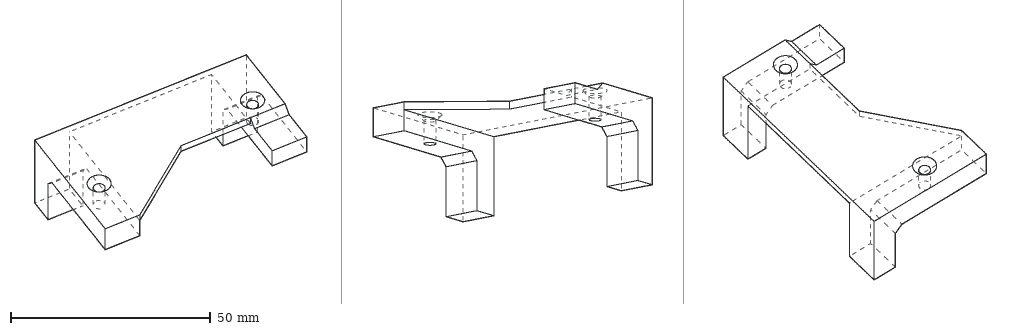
import cadquery as cq

width = 35.9
length = 61.0
height = 22.5

plate_thickness = 2.1
plate_narrow_width = 19.8
taper_start_y = 31.0

bracket_depth = 10.0
front_leg_thickness = 6.85
rear_leg_thickness = 5.8
arm_height = 7.5
corner_brace = 2.1
rear_arm_reach = 30.85

hole_diameter = 3.0
countersink_diameter = 6.05
countersink_angle = 90
hole_end_offset = 6.5
front_hole_x = 21.35
rear_hole_x = 14.75

arm_bottom_z = height - arm_height
plate_bottom_z = height - plate_thickness


def make_plate():
    """Thin top plate, wide at the front and tapering to the narrow rear."""
    outline = [
        (0, 0),
        (width, 0),
        (width, bracket_depth),
        (plate_narrow_width, taper_start_y),
        (plate_narrow_width, length),
        (0, length),
    ]
    return (
        cq.Workplane("XY")
        .workplane(offset=plate_bottom_z)
        .polyline(outline)
        .close()
        .extrude(plate_thickness)
    )


def make_bracket(leg_thickness, arm_reach, top_points, start_y):
    """Leg and arm with a braced inner corner; top_points close the upper side."""
    profile = [
        (0, 0),
        (leg_thickness, 0),
        (leg_thickness, arm_bottom_z - corner_brace),
        (leg_thickness + corner_brace, arm_bottom_z),
        (arm_reach, arm_bottom_z),
    ] + top_points
    return (
        cq.Workplane("XZ", origin=(0, start_y, 0))
        .polyline(profile)
        .close()
        .extrude(-bracket_depth)
    )


front_top = [(width, height), (0, height)]

rear_top = [
    (rear_arm_reach, plate_bottom_z),
    (plate_narrow_width + plate_thickness, plate_bottom_z),
    (plate_narrow_width, height),
    (0, height),
]

body = make_plate()
body = body.union(make_bracket(front_leg_thickness, width, front_top, 0))
rear_start_y = length - bracket_depth
body = body.union(make_bracket(rear_leg_thickness, rear_arm_reach, rear_top, rear_start_y))

hole_centers = [
    (front_hole_x, hole_end_offset),
    (rear_hole_x, length - hole_end_offset),
]
result = (
    body.clean()
    .faces(">Z")
    .workplane(origin=(0, 0, height))
    .pushPoints(hole_centers)
    .cskHole(hole_diameter, countersink_diameter, countersink_angle)
)